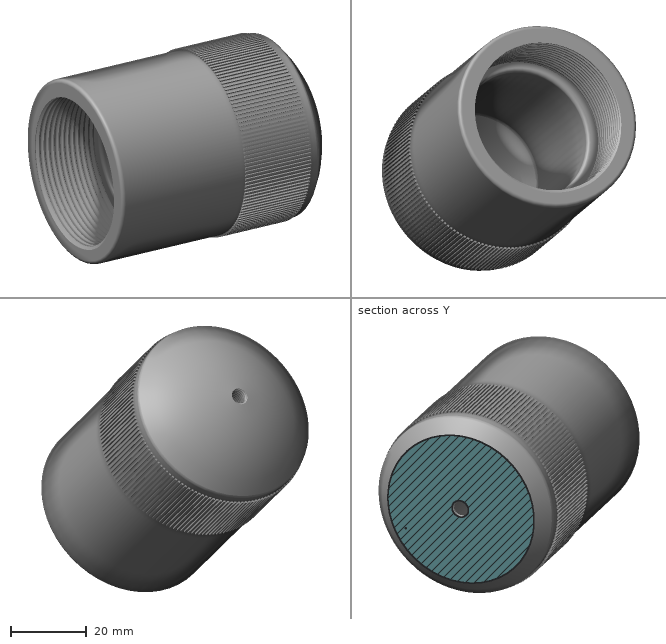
import cadquery as cq
import math


BODY_RADIUS = 25.0
SHOULDER_Y = 60.0
DOME_RISE = 10.0
EDGE_FILLET = 1.0

TOOTH_COUNT = 150
TOOTH_HEIGHT = 0.5
TOOTH_PITCH_ANGLE = 2 * math.pi / TOOTH_COUNT
TOOTH_FILL = 0.5
BAND_START = 37.5
BAND_LENGTH = 20.0
TOOTH_ROOT_DEPTH = 1.0

CAP_THREAD_MAJOR = 21.0
CAP_THREAD_PITCH = 1.5
CAP_THREAD_ANGLE = -80.0
SEAT_Y = 18.0
VENT_THREAD_MAJOR = 2.5
VENT_THREAD_PITCH = 0.8
VENT_THREAD_ANGLE = 45.0
CUTTER_OVERLAP = 0.05

WALL = 7.5
CAVITY_RADIUS = BODY_RADIUS - WALL

DOME_RADIUS = (BODY_RADIUS**2 + DOME_RISE**2) / (2 * DOME_RISE)
DOME_CENTRE_Y = SHOULDER_Y + DOME_RISE - DOME_RADIUS
INNER_DOME_RADIUS = DOME_RADIUS - WALL
CAVITY_SHOULDER_Y = DOME_CENTRE_Y + math.sqrt(INNER_DOME_RADIUS**2 - CAVITY_RADIUS**2)


def minor_radius(major, pitch):
    """Radius of the crests of an ISO metric internal thread."""
    return major - pitch * math.sqrt(3) / 2 * 5 / 8


CAP_THREAD_MINOR = minor_radius(CAP_THREAD_MAJOR, CAP_THREAD_PITCH)
VENT_RADIUS = minor_radius(VENT_THREAD_MAJOR, VENT_THREAD_PITCH)
VENT_START = DOME_CENTRE_Y + math.sqrt(INNER_DOME_RADIUS**2 - VENT_RADIUS**2)


def cylinder(radius, start, end):
    """Solid cylinder on the Y axis between two Y positions."""
    base = cq.Workplane("XZ", origin=(0, start, 0))
    return base.circle(radius).extrude(start - end)


def domed_plug(radius, start, shoulder, dome_radius):
    """Cylinder from start, closed at its +Y end by a dome that begins at the shoulder."""
    apex = DOME_CENTRE_Y + dome_radius
    half_angle = math.asin(radius / dome_radius) / 2
    arc_middle = (
        dome_radius * math.sin(half_angle),
        DOME_CENTRE_Y + dome_radius * math.cos(half_angle),
    )
    half_section = (
        cq.Workplane("XY")
        .moveTo(0, start)
        .lineTo(radius, start)
        .lineTo(radius, shoulder)
        .threePointArc(arc_middle, (0, apex))
        .close()
    )
    return half_section.revolve(360, (0, 0, 0), (0, 1, 0))


def body():
    """Domed outside with both rims rounded."""
    plug = domed_plug(BODY_RADIUS, 0, SHOULDER_Y, DOME_RADIUS)
    return plug.faces("%CYLINDER").edges("%CIRCLE").fillet(EDGE_FILLET)


def knurl_teeth():
    """Straight teeth around the body, rooted below its surface so that they fuse with it."""
    tip_radius = BODY_RADIUS + TOOTH_HEIGHT
    root_radius = BODY_RADIUS - TOOTH_ROOT_DEPTH
    half_tooth = TOOTH_PITCH_ANGLE * TOOTH_FILL / 2

    def at(radius, angle):
        return (radius * math.cos(angle), radius * math.sin(angle))

    outlines = cq.Workplane("XZ", origin=(0, BAND_START, 0))
    for index in range(TOOTH_COUNT):
        middle = index * TOOTH_PITCH_ANGLE
        left = middle - half_tooth
        right = middle + half_tooth
        outlines = outlines.moveTo(*at(root_radius, left)).lineTo(*at(tip_radius, left))
        outlines = outlines.threePointArc(at(tip_radius, middle), at(tip_radius, right))
        outlines = outlines.lineTo(*at(root_radius, right)).close()
    return outlines.extrude(-BAND_LENGTH)


def cavity():
    """Thread bore and the smooth domed bore behind it, with the seat and dome edges rounded."""
    bore = domed_plug(CAVITY_RADIUS, 0, CAVITY_SHOULDER_Y, INNER_DOME_RADIUS)
    bore = bore.faces("%CYLINDER").edges("%CIRCLE").edges(">Y").fillet(EDGE_FILLET)
    space = bore.union(cylinder(CAP_THREAD_MINOR, 0, SEAT_Y))
    seat = space.faces("%PLANE").faces(">Y")
    return seat.edges(cq.selectors.RadiusNthSelector(0)).fillet(EDGE_FILLET)


def thread_cutter(major, pitch, start, end, angle):
    """Right-hand helical ridge that cuts a groove crossing the start position at the angle."""
    minor = minor_radius(major, pitch)
    root_width = pitch / 8
    mouth_width = pitch * 3 / 4
    flank_slope = (mouth_width - root_width) / (major - minor)
    half_root = root_width / 2
    half_mouth = (mouth_width + flank_slope * CUTTER_OVERLAP) / 2
    inner = minor - CUTTER_OVERLAP
    turns = math.ceil((end - start) / pitch) + 2
    helix = cq.Wire.makeHelix(pitch, pitch * turns, minor)
    profile = cq.Workplane("XZ").polyline(
        [
            (inner, -half_mouth),
            (major, -half_root),
            (major, half_root),
            (inner, half_mouth),
        ]
    )
    ridge = profile.close().sweep(cq.Workplane(obj=helix), isFrenet=True)
    ridge = ridge.rotate((0, 0, 0), (1, 0, 0), -90)
    ridge = ridge.rotate((0, 0, 0), (0, 1, 0), -angle)
    return ridge.translate((0, start - pitch, 0))


def cap_thread():
    """Groove cutter of the open end, stopped at the seat."""
    cutter = thread_cutter(CAP_THREAD_MAJOR, CAP_THREAD_PITCH, 0, SEAT_Y, CAP_THREAD_ANGLE)
    reach = cylinder(BODY_RADIUS, -2 * CAP_THREAD_PITCH, SEAT_Y)
    return cutter.intersect(reach)


def vent_thread():
    """Groove cutter of the vent hole, running right through the dome."""
    return thread_cutter(
        VENT_THREAD_MAJOR, VENT_THREAD_PITCH, VENT_START, SHOULDER_Y + DOME_RISE, VENT_THREAD_ANGLE
    )


def build():
    """Hollow threaded cap with its knurled band."""
    part = body().cut(cavity())
    part = part.cut(cylinder(VENT_RADIUS, SEAT_Y, SHOULDER_Y + DOME_RISE))
    part = part.cut(cap_thread())
    part = part.cut(vent_thread())
    return part.union(knurl_teeth())


result = build()